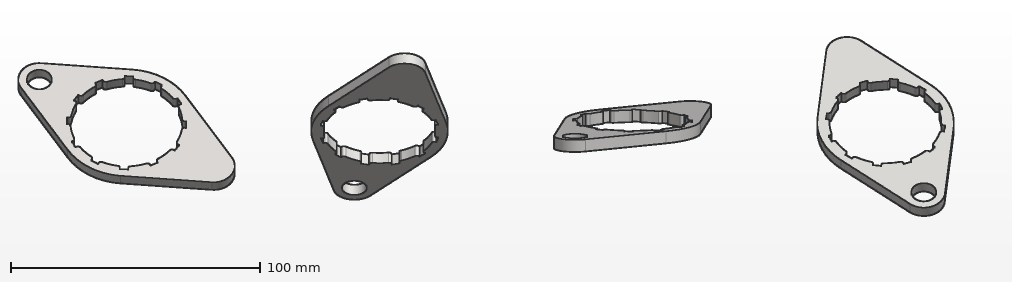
import cadquery as cq
import math

length = 99.9
width = 55.0
thickness = 5.0
end_radius = 8.5
centre_radius = width / 2
end_offset = length / 2 - end_radius

hole_diameter = 10.0

bore_radius = 22.5
notch_radius = 24.0
notch_width = 3.3
notch_count = 12
notch_lip_radius = 1.1


def make_plate():
    normal_x = (centre_radius - end_radius) / end_offset
    normal_y = math.sqrt(1 - normal_x**2)
    centre_x, centre_y = centre_radius * normal_x, centre_radius * normal_y
    end_x, end_y = end_offset + end_radius * normal_x, end_radius * normal_y
    return (
        cq.Workplane("XY")
        .moveTo(-centre_x, centre_y)
        .threePointArc((0, centre_radius), (centre_x, centre_y))
        .lineTo(end_x, end_y)
        .threePointArc((length / 2, 0), (end_x, -end_y))
        .lineTo(centre_x, -centre_y)
        .threePointArc((0, -centre_radius), (-centre_x, -centre_y))
        .lineTo(-end_x, -end_y)
        .threePointArc((-length / 2, 0), (-end_x, end_y))
        .close()
        .extrude(thickness)
    )


def make_hole():
    return cq.Workplane("XY").center(-end_offset, 0).circle(hole_diameter / 2).extrude(thickness)


def make_splined_bore():
    bore = cq.Workplane("XY").circle(bore_radius).extrude(thickness)
    for index in range(notch_count // 2):
        bar = cq.Workplane("XY").rect(2 * notch_radius, notch_width).extrude(thickness)
        bore = bore.union(bar.rotate((0, 0, 0), (0, 0, 1), index * 360 / notch_count))
    lip_limit = (bore_radius + notch_radius) / 2
    lips = bore.edges("|Z").filter(
        lambda edge: math.hypot(edge.Center().x, edge.Center().y) < lip_limit
    )
    return lips.fillet(notch_lip_radius)


result = make_plate().cut(make_hole()).cut(make_splined_bore())